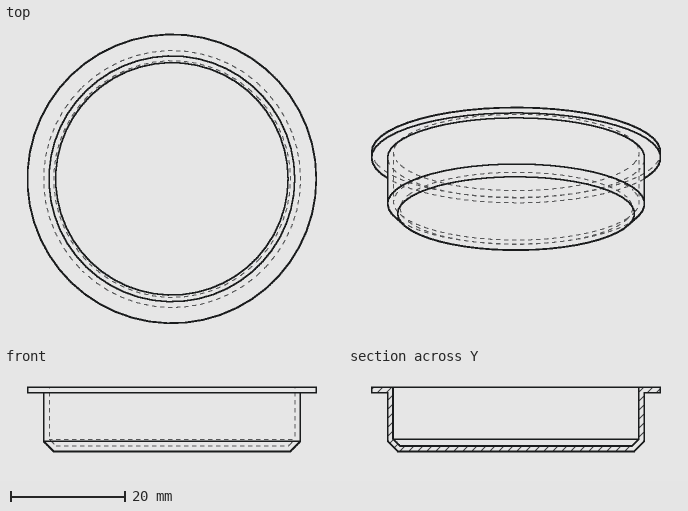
import cadquery as cq

flange_diameter = 50.6
body_diameter = 45.0
cavity_diameter = 43.0
total_height = 11.3
flange_thickness = 1.0
floor_thickness = 1.0
outer_chamfer = 1.75
inner_chamfer = 1.15


def disc(diameter, bottom, top):
    """Upright cylinder on the Z axis between two heights."""
    return cq.Workplane("XY").workplane(offset=bottom).circle(diameter / 2).extrude(top - bottom)


body = disc(body_diameter, 0, total_height).faces("<Z").edges().chamfer(outer_chamfer)

flange = disc(flange_diameter, total_height - flange_thickness, total_height)

cavity = disc(cavity_diameter, floor_thickness, total_height).faces("<Z").edges().chamfer(inner_chamfer)

result = body.union(flange).cut(cavity)